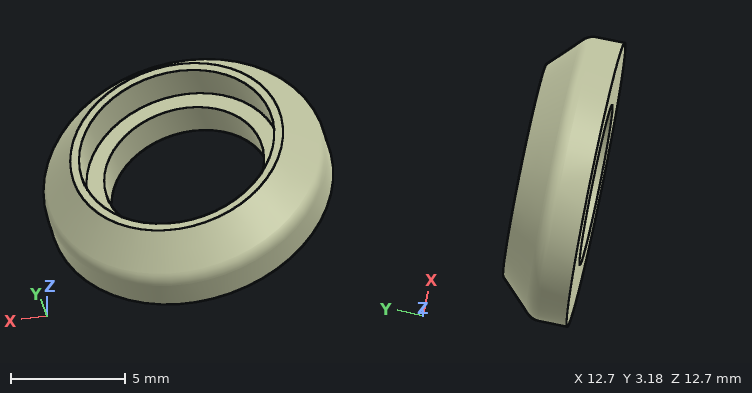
import cadquery as cq
import math

outer_diameter = 12.7
thickness = 3.18
hole_diameter = 7.15
counterbore_diameter = 8.74
counterbore_depth = 1.59
bevel = 1.59
bevel_blend = 0.8

outer_radius = outer_diameter / 2
hole_radius = hole_diameter / 2
counterbore_radius = counterbore_diameter / 2
front_y = -thickness / 2
back_y = thickness / 2

bevel_angle = math.radians(45)
blend_tangent = bevel_blend * math.tan(bevel_angle / 2)
blend_start_y = back_y - bevel - blend_tangent
blend_end_radius = outer_radius - blend_tangent * math.sin(bevel_angle)
blend_end_y = back_y - bevel + blend_tangent * math.cos(bevel_angle)


def ring_body():
    """Revolve the half section of the bevelled ring."""
    section = (
        cq.Workplane("XY")
        .moveTo(hole_radius, front_y)
        .lineTo(outer_radius, front_y)
        .lineTo(outer_radius, blend_start_y)
        .tangentArcPoint((blend_end_radius, blend_end_y), relative=False)
        .lineTo(outer_radius - bevel, back_y)
        .lineTo(counterbore_radius, back_y)
        .lineTo(counterbore_radius, back_y - counterbore_depth)
        .lineTo(hole_radius, back_y - counterbore_depth)
        .close()
    )
    return section.revolve(360, (0, 0, 0), (0, 1, 0))


result = ring_body()